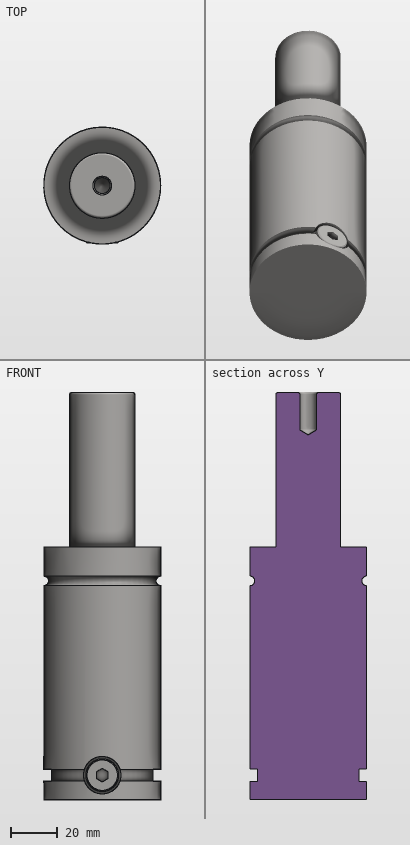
import cadquery as cq
import math

body_diameter = 50.0
body_height = 108.0
body_radius = body_diameter / 2

round_groove_radius = 2.0
round_groove_height = 93.5

square_groove_floor_diameter = 43.5
square_groove_bottom = 8.0
square_groove_width = 5.0

rod_diameter = 28.0
total_height = 174.0
rod_end_fillet = 1.0

hole_diameter = 6.8
hole_mouth_diameter = 8.0
hole_depth = 16.0
drill_point_angle = 118.0

port_diameter = 16.0
port_height = square_groove_bottom + square_groove_width / 2
plug_diameter = 14.0
port_depth = 5.0
plug_chamfer = 0.5
plug_recess = 0.5
plug_face_distance = body_radius - plug_recess
socket_sides = 6
socket_across_flats = 5.0
socket_depth = 3.0


def port_cylinder(diameter, inner_distance, outer_distance):
    """Cylinder along the port axis, between two distances from the body axis."""
    return (
        cq.Workplane("XZ", origin=(0, -inner_distance, port_height))
        .circle(diameter / 2)
        .extrude(outer_distance - inner_distance)
    )


def make_body():
    """Cylinder with a rounded groove and a square groove turned around it."""
    groove_low = round_groove_height - round_groove_radius
    groove_high = round_groove_height + round_groove_radius
    floor_radius = square_groove_floor_diameter / 2
    square_groove_top = square_groove_bottom + square_groove_width
    profile = (
        cq.Workplane("XZ")
        .lineTo(body_radius, 0)
        .lineTo(body_radius, square_groove_bottom)
        .lineTo(floor_radius, square_groove_bottom)
        .lineTo(floor_radius, square_groove_top)
        .lineTo(body_radius, square_groove_top)
        .lineTo(body_radius, groove_low)
        .threePointArc(
            (body_radius - round_groove_radius, round_groove_height),
            (body_radius, groove_high),
        )
        .lineTo(body_radius, body_height)
        .lineTo(0, body_height)
        .close()
    )
    return profile.revolve(360, (0, 0, 0), (0, 1, 0))


def make_rod():
    """Piston rod with a rounded free end."""
    rod = (
        cq.Workplane("XY", origin=(0, 0, body_height))
        .circle(rod_diameter / 2)
        .extrude(total_height - body_height)
    )
    return rod.faces(">Z").edges().fillet(rod_end_fillet)


def make_rod_hole():
    """Drilled hole with a 90 degree countersunk mouth and a conical bottom."""
    hole_radius = hole_diameter / 2
    mouth_radius = hole_mouth_diameter / 2
    mouth_depth = mouth_radius - hole_radius
    point_depth = hole_radius / math.tan(math.radians(drill_point_angle / 2))
    shoulder = total_height - hole_depth
    profile = (
        cq.Workplane("XZ")
        .moveTo(0, total_height)
        .lineTo(mouth_radius, total_height)
        .lineTo(hole_radius, total_height - mouth_depth)
        .lineTo(hole_radius, shoulder)
        .lineTo(0, shoulder - point_depth)
        .close()
    )
    return profile.revolve(360, (0, 0, 0), (0, 1, 0))


def make_plug():
    """Port plug with a chamfered rim."""
    plug = port_cylinder(plug_diameter, 0, plug_face_distance)
    return plug.faces("<Y").chamfer(plug_chamfer)


def make_socket():
    """Hexagonal key socket in the plug, with corners at top and bottom."""
    across_corners = socket_across_flats / math.cos(math.pi / socket_sides)
    return (
        cq.Workplane("XZ", origin=(0, -plug_face_distance, port_height))
        .transformed(rotate=(0, 0, 90))
        .polygon(socket_sides, across_corners)
        .extrude(-socket_depth)
    )


result = (
    make_body()
    .cut(port_cylinder(port_diameter, body_radius - port_depth, body_radius))
    .union(make_plug())
    .cut(make_socket())
    .union(make_rod())
    .cut(make_rod_hole())
)